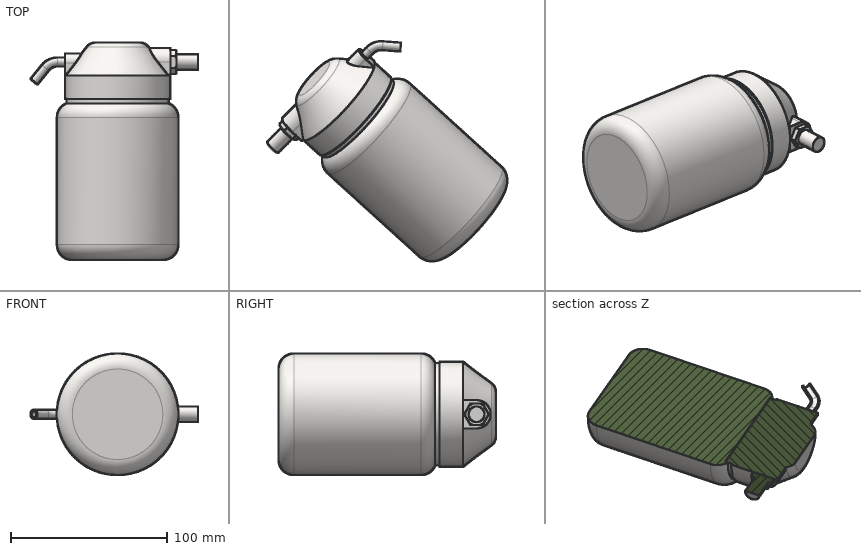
import cadquery as cq
import math

bottle_radius = 39.0
bottle_round = 10.0
shoulder_top = 101.1

neck_radius = 32.9
neck_bottom = 98.9
neck_top = 103.2
cap_radius = 33.7
cap_top = 139.3
cone_base = 118.1
crown_edge = 136.2
crown_edge_radius = 20.0
crown_flat_radius = 14.0

port_y = 126.8
inlet_boss_y = 126.0
inlet_boss_radius = 6.3
outlet_boss_radius = 9.0

tube_radius = 2.9
tube_bore_radius = 2.0
tube_stub = 4.7
tube_bend_radius = 10.0
tube_bend_angle = math.radians(51)
tube_tail = 11.5

hex_across_corners = 15.6
hex_length = 3.9
hex_chamfer = 0.5
pipe_radius = 5.0
pipe_end = 51.5


def make_bottle():
    """Round bottle with rounded base and shoulder, and a shallow recess for the cap neck."""
    body = cq.Workplane("XZ").circle(bottle_radius).extrude(-shoulder_top)
    body = body.edges("%CIRCLE").fillet(bottle_round)
    recess_depth = shoulder_top - neck_bottom
    recess = cq.Workplane("XZ", origin=(0, neck_bottom, 0)).circle(neck_radius).extrude(-recess_depth)
    return body.cut(recess)


def make_cap_shell():
    """Revolved cap; the crown arc is tangent to the flat top and close to tangent to the cone."""
    arc_width = crown_edge_radius - crown_flat_radius
    arc_drop = cap_top - crown_edge
    arc_radius = (arc_width**2 + arc_drop**2) / (2 * arc_drop)
    half_angle = math.asin(arc_width / arc_radius) / 2
    crown_mid = (
        crown_flat_radius + arc_radius * math.sin(half_angle),
        cap_top - arc_radius * (1 - math.cos(half_angle)),
    )
    return (
        cq.Workplane("XY")
        .moveTo(0, neck_bottom)
        .lineTo(neck_radius, neck_bottom)
        .lineTo(neck_radius, neck_top)
        .lineTo(cap_radius, neck_top)
        .lineTo(cap_radius, cone_base)
        .lineTo(crown_edge_radius, crown_edge)
        .threePointArc(crown_mid, (crown_flat_radius, cap_top))
        .lineTo(0, cap_top)
        .close()
        .revolve(360, (0, 0, 0), (0, 1, 0))
    )


def make_boss(center_y, radius, side):
    """Round-topped boss from the cap axis to the cap radius; side is -1 or +1 along X."""
    return (
        cq.Workplane("YZ")
        .moveTo(cone_base, -radius)
        .lineTo(center_y, -radius)
        .threePointArc((center_y + radius, 0), (center_y, radius))
        .lineTo(cone_base, radius)
        .close()
        .extrude(side * cap_radius)
    )


def make_tube_rod(radius):
    """Solid rod along the bent tube path, starting on the inlet boss face."""
    bend_start = -cap_radius - tube_stub
    half_bend = tube_bend_angle / 2

    def bend_point(angle):
        return (
            bend_start - tube_bend_radius * math.sin(angle),
            port_y - tube_bend_radius * (1 - math.cos(angle)),
        )

    bend_end = bend_point(tube_bend_angle)
    tail_end = (
        bend_end[0] - tube_tail * math.cos(tube_bend_angle),
        bend_end[1] - tube_tail * math.sin(tube_bend_angle),
    )
    path = (
        cq.Workplane("XY")
        .moveTo(-cap_radius, port_y)
        .lineTo(bend_start, port_y)
        .threePointArc(bend_point(half_bend), bend_end)
        .lineTo(*tail_end)
    )
    return cq.Workplane("YZ", origin=(-cap_radius, port_y, 0)).circle(radius).sweep(path)


def make_cap():
    """Cap with its two port bosses and the hollow bent inlet tube."""
    inlet_boss = make_boss(inlet_boss_y, inlet_boss_radius, -1)
    outlet_boss = make_boss(port_y, outlet_boss_radius, 1)
    cap = make_cap_shell().union(inlet_boss).union(outlet_boss)
    return cap.union(make_tube_rod(tube_radius)).cut(make_tube_rod(tube_bore_radius))


def make_outlet_fitting():
    """Hexagon with chamfered outer corners, and a plain pipe."""
    base = cq.Workplane("YZ", origin=(cap_radius, port_y, 0))
    hexagon = base.polygon(6, hex_across_corners).extrude(hex_length)
    corner_trim = base.circle(hex_across_corners / 2).extrude(hex_length).faces(">X").chamfer(hex_chamfer)
    pipe = base.circle(pipe_radius).extrude(pipe_end - cap_radius)
    return hexagon.intersect(corner_trim).union(pipe)


bottle = make_bottle()
cap = make_cap()
outlet_fitting = make_outlet_fitting()

result = cq.Compound.makeCompound([bottle.val(), cap.val(), outlet_fitting.val()])